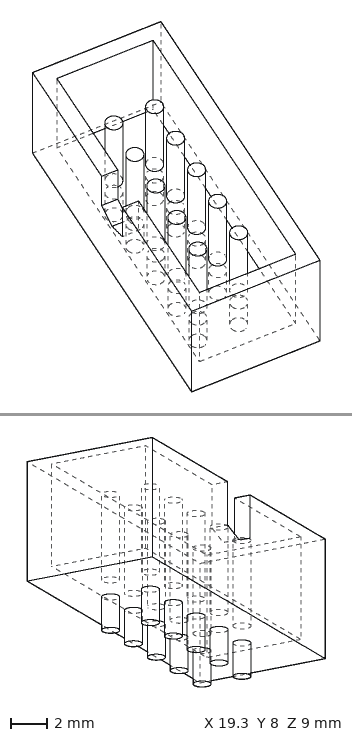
import cadquery as cq

length = 19.27
width = 8.0
total_height = 9.0
pin_tail = 1.97
housing_height = total_height - pin_tail
wall = 1.0
floor = wall

pin_diameter = 1.0
pin_pitch = 2.55
pin_columns = 5
pin_rows = 2
pin_recess = 1.0

notch_width = 2.5
notch_side_depth = 2.55
notch_tip_depth = 3.0


def make_housing():
    """Open-topped box with walls of equal thickness."""
    block = cq.Workplane("XY").box(length, width, housing_height, centered=(True, True, False))
    cavity = (
        cq.Workplane("XY", origin=(0, 0, floor))
        .rect(length - 2 * wall, width - 2 * wall)
        .extrude(housing_height - floor)
    )
    return block.cut(cavity)


def make_notch():
    """Slot with a V-shaped bottom, passing through the -Y wall only."""
    half_width = notch_width / 2
    shoulder = housing_height - notch_side_depth
    return (
        cq.Workplane("XZ", origin=(0, -width / 2, 0))
        .moveTo(-half_width, housing_height)
        .lineTo(-half_width, shoulder)
        .lineTo(0, housing_height - notch_tip_depth)
        .lineTo(half_width, shoulder)
        .lineTo(half_width, housing_height)
        .close()
        .extrude(-wall)
    )


def make_pins():
    """Grid of round pins running through the floor."""
    return (
        cq.Workplane("XY", origin=(0, 0, -pin_tail))
        .rarray(pin_pitch, pin_pitch, pin_columns, pin_rows)
        .circle(pin_diameter / 2)
        .extrude(total_height - pin_recess)
    )


result = make_housing().cut(make_notch()).union(make_pins())